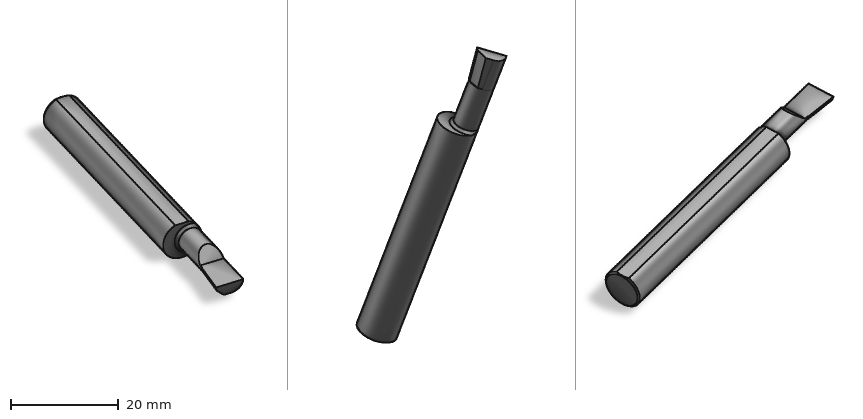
import cadquery as cq
import math

total_length = 63.5
shank_length = 46.85
shank_diameter = 7.95
shank_radius = shank_diameter / 2
shank_height = 7.7
flat_height = shank_height - shank_radius
end_chamfer_axial = 0.25
end_chamfer_radial = 0.4

neck_radius = 2.5
neck_center_y = shank_radius - neck_radius
collar_length = 0.6
ramp_start = 53.35
ramp_end = ramp_start + neck_radius

lip_start = 56.65
tip_y = -1.8
lip_side_angle = 5.7
lip_edge_depth = 0.9
lip_land_relief = 0.2
end_relief = 0.3

overlap = 0.65


def make_shank():
    profile = [
        (0, 0),
        (0, shank_radius - end_chamfer_radial),
        (end_chamfer_axial, shank_radius),
        (shank_length, shank_radius),
        (shank_length, 0),
    ]
    body = cq.Workplane("XY").polyline(profile).close().revolve(360, (0, 0), (1, 0))
    flat_cut = cq.Workplane("XY").workplane(offset=flat_height).rect(
        2 * (shank_length + overlap), shank_diameter
    ).extrude(shank_radius)
    return body.cut(flat_cut)


def make_neck():
    collar_radius = neck_radius + collar_length
    profile = [
        (shank_length - overlap, 0),
        (shank_length - overlap, neck_radius),
        (shank_length, neck_radius),
        (shank_length, collar_radius),
        (shank_length + collar_length, neck_radius),
        (lip_start, neck_radius),
        (lip_start, 0),
    ]
    body = cq.Workplane("XY").polyline(profile).close().revolve(360, (0, 0), (1, 0))
    body = body.translate((0, neck_center_y, 0))
    envelope = cq.Workplane("YZ").circle(shank_radius).extrude(total_length)
    return body.intersect(envelope)


def draw_lip_section(plane, edge_y):
    """Draws the lip section: straight land, 45 degree undercut, flat bottom and the rounded neck back."""
    land_y = edge_y + lip_land_relief
    undercut_height = neck_radius - lip_edge_depth
    arc_offset = neck_radius * math.cos(math.radians(45))
    return (
        plane.moveTo(shank_radius, 0)
        .lineTo(edge_y, 0)
        .lineTo(land_y, -lip_edge_depth)
        .lineTo(land_y + undercut_height, -neck_radius)
        .lineTo(neck_center_y, -neck_radius)
        .threePointArc((neck_center_y + arc_offset, -arc_offset), (shank_radius, 0))
        .close()
    )


def make_lip():
    lip_length = total_length - lip_start
    start_y = tip_y + lip_length * math.tan(math.radians(lip_side_angle))
    start = draw_lip_section(cq.Workplane("YZ").workplane(offset=lip_start), start_y)
    return draw_lip_section(start.workplane(offset=lip_length), tip_y).loft(ruled=True)


def make_top_cut():
    """Removes the neck above the rake face, ending in the 45 degree ramp."""
    top = neck_radius + overlap
    outline = [
        (ramp_end, 0),
        (total_length + overlap, 0),
        (total_length + overlap, top),
        (ramp_end - top, top),
    ]
    return cq.Workplane("XZ").polyline(outline).close().extrude(shank_diameter, both=True)


def make_end_cut():
    """Leans the end face back below the cutting edge."""
    outline = [
        (total_length, 0),
        (total_length - end_relief, -neck_radius),
        (total_length - end_relief, -neck_radius - overlap),
        (total_length + overlap, -neck_radius - overlap),
        (total_length + overlap, 0),
    ]
    return cq.Workplane("XZ").polyline(outline).close().extrude(shank_diameter, both=True)


cutting_end = make_neck().union(make_lip()).cut(make_top_cut()).cut(make_end_cut())
result = make_shank().union(cutting_end)